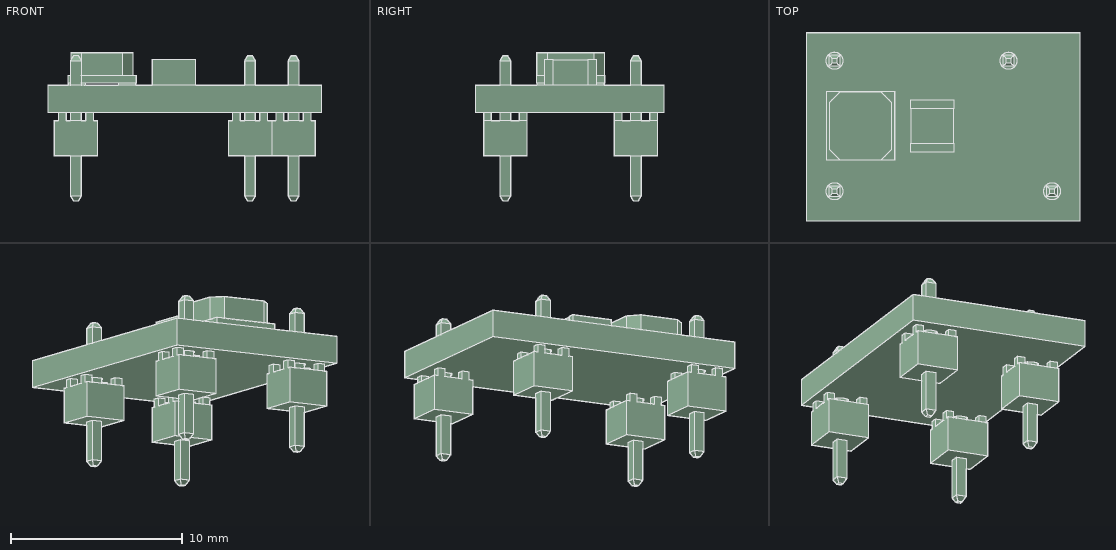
import cadquery as cq

BOARD_X = 16.0
BOARD_Y = 11.0
BOARD_Z = 1.6

LAYOUT_Y = 0.05

PITCHES_ALONG_X = 5
PITCHES_ALONG_Y = 3
PIN_SPAN_X = 12.7
PITCH = PIN_SPAN_X / PITCHES_ALONG_X
FIRST_PIN_X = -PIN_SPAN_X / 2
LAST_PIN_X = PIN_SPAN_X / 2
FRONT_ROW_Y = LAYOUT_Y - PITCHES_ALONG_Y * PITCH / 2
BACK_ROW_Y = LAYOUT_Y + PITCHES_ALONG_Y * PITCH / 2
PIN_PLACES = [
    (FIRST_PIN_X, FRONT_ROW_Y),
    (LAST_PIN_X, FRONT_ROW_Y),
    (FIRST_PIN_X, BACK_ROW_Y),
    (LAST_PIN_X - PITCH, BACK_ROW_Y),
]

PIN_WIDTH = 0.64
PIN_RISE = 1.73
PIN_TOP_Z = BOARD_Z + PIN_RISE
PIN_BOTTOM_Z = -5.17
TIP_WIDTH = 0.29
TIP_HEIGHT = 0.3
HOLE_DIAMETER = 1.0

BLOCK_WIDTH = PITCH
BLOCK_HEIGHT = 2.06
FOOT_HEIGHT = 0.46
FOOT_WIDTH = 0.46
FOOT_INSET_X = 0.24

INDUCTOR_X = -4.83
BASE_SIDE = 4.0
BASE_HEIGHT = 0.46
PAD_X = 1.02
PAD_Y = 3.94
PAD_INSET_X = 0.02
PAD_HEIGHT = 0.11
BODY_X = 3.65
BODY_Y = 3.97
BODY_CORNER = 0.62
INDUCTOR_HEIGHT = 1.9

CHIP_X = -0.64
CHIP_WIDTH = 2.55
CHIP_LENGTH = 3.05
CHIP_HEIGHT = 1.5
TERMINAL_LENGTH = 0.5
TERMINAL_STEP = 0.03


def box(size_x, size_y, bottom_z, top_z, x=0.0, y=0.0):
    """Upright box centred on (x, y) between two heights."""
    height = top_z - bottom_z
    base = cq.Workplane("XY", origin=(x, y, bottom_z))
    return base.box(size_x, size_y, height, centered=(True, True, False))


def pin_tip(base_z, direction):
    """Blunt pyramid rising (+1) or falling (-1) from the end of the pin shaft."""
    return (
        cq.Workplane("XY", origin=(0, 0, base_z))
        .rect(PIN_WIDTH, PIN_WIDTH)
        .workplane(offset=direction * TIP_HEIGHT)
        .rect(TIP_WIDTH, TIP_WIDTH)
        .loft(ruled=True)
    )


def header_pin():
    """One pin with its block and feet, with the pin axis on Z."""
    shaft_bottom = PIN_BOTTOM_Z + TIP_HEIGHT
    shaft_top = PIN_TOP_Z - TIP_HEIGHT
    pin = box(PIN_WIDTH, PIN_WIDTH, shaft_bottom, shaft_top)
    pin = pin.union(pin_tip(shaft_top, 1)).union(pin_tip(shaft_bottom, -1))

    header = pin.union(box(BLOCK_WIDTH, BLOCK_WIDTH, -FOOT_HEIGHT - BLOCK_HEIGHT, -FOOT_HEIGHT))
    foot_x = BLOCK_WIDTH / 2 - FOOT_INSET_X - FOOT_WIDTH / 2
    foot_y = BLOCK_WIDTH / 2 - FOOT_WIDTH / 2
    for side_x in (-1, 1):
        for side_y in (-1, 1):
            foot = box(FOOT_WIDTH, FOOT_WIDTH, -FOOT_HEIGHT, 0, side_x * foot_x, side_y * foot_y)
            header = header.union(foot)
    return header


def inductor():
    """Inductor standing on the board on its two pads."""
    base_bottom = BOARD_Z + PAD_HEIGHT
    base_top = base_bottom + BASE_HEIGHT
    body = box(BODY_X, BODY_Y, base_top, BOARD_Z + INDUCTOR_HEIGHT)
    body = body.edges("|Z").chamfer(BODY_CORNER)
    shape = box(BASE_SIDE, BASE_SIDE, base_bottom, base_top).union(body)
    pad_x = (BASE_SIDE - PAD_X) / 2 - PAD_INSET_X
    for side in (-1, 1):
        shape = shape.union(box(PAD_X, PAD_Y, BOARD_Z, base_bottom, side * pad_x))
    return shape.translate((INDUCTOR_X, LAYOUT_Y, 0))


def chip():
    """Chip capacitor lying on the board, terminals at its Y ends."""
    top = BOARD_Z + CHIP_HEIGHT
    shape = box(
        CHIP_WIDTH - 2 * TERMINAL_STEP,
        CHIP_LENGTH - 2 * TERMINAL_STEP,
        BOARD_Z,
        top - TERMINAL_STEP,
    )
    terminal_y = (CHIP_LENGTH - TERMINAL_LENGTH) / 2
    for side in (-1, 1):
        shape = shape.union(box(CHIP_WIDTH, TERMINAL_LENGTH, BOARD_Z, top, 0, side * terminal_y))
    return shape.translate((CHIP_X, LAYOUT_Y, 0))


board = box(BOARD_X, BOARD_Y, 0, BOARD_Z)
holes = cq.Workplane("XY").pushPoints(PIN_PLACES).circle(HOLE_DIAMETER / 2).extrude(BOARD_Z)
board = board.cut(holes)

result = board.union(inductor()).union(chip())
for pin_x, pin_y in PIN_PLACES:
    result = result.union(header_pin().translate((pin_x, pin_y, 0)))